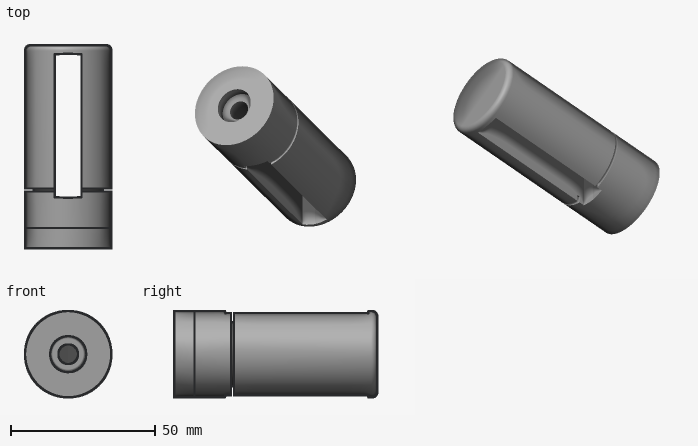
import cadquery as cq

LENGTH = 70.35
OUTER_DIAMETER = 30.0

CAP_LENGTH = 7.0
GROOVE_START = 19.7
GROOVE_WIDTH = 1.0
SLEEVE_START = GROOVE_START + GROOVE_WIDTH

NECK_DIAMETER = 24.05

REAR_FILLET = 2.0

SLOT_WIDTH = 9.15
SLOT_START = 17.7
SLOT_END = 67.1
SLOT_VEE_DEPTH = 0.2

BORE_DIAMETER = 6.8
COUNTERBORE_DIAMETER = 12.5
COUNTERBORE_DEPTH = 4.0


def cylinder(diameter, start, end):
    """Solid cylinder on the Y axis between two Y positions."""
    disc = cq.Workplane("XZ", origin=(0, start, 0)).circle(diameter / 2)
    return disc.extrude(start - end)


def slot_cutter():
    """Through slot with a shallow vee in the middle of each end wall."""
    half_width = SLOT_WIDTH / 2
    outline = [
        (-half_width, SLOT_START),
        (0, SLOT_START - SLOT_VEE_DEPTH),
        (half_width, SLOT_START),
        (half_width, SLOT_END),
        (0, SLOT_END + SLOT_VEE_DEPTH),
        (-half_width, SLOT_END),
    ]
    return cq.Workplane("XY").polyline(outline).close().extrude(OUTER_DIAMETER / 2, both=True)


def make_cap():
    """Front disc with the counterbored hole."""
    cap = cylinder(OUTER_DIAMETER, 0, CAP_LENGTH)
    cap = cap.cut(cylinder(BORE_DIAMETER, 0, CAP_LENGTH))
    return cap.cut(cylinder(COUNTERBORE_DIAMETER, 0, COUNTERBORE_DEPTH))


def make_collar():
    """Middle ring with the neck behind it, open to the slot at the rear."""
    collar = cylinder(OUTER_DIAMETER, CAP_LENGTH, GROOVE_START)
    collar = collar.union(cylinder(NECK_DIAMETER, GROOVE_START, SLEEVE_START))
    collar = collar.cut(cylinder(BORE_DIAMETER, CAP_LENGTH, SLEEVE_START))
    return collar.cut(slot_cutter())


def make_sleeve():
    """Long rear body with the slot and a rounded rear edge."""
    sleeve = cylinder(OUTER_DIAMETER, SLEEVE_START, LENGTH)
    sleeve = sleeve.faces(">Y").edges().fillet(REAR_FILLET)
    return sleeve.cut(slot_cutter())


cap = make_cap()
collar = make_collar()
sleeve = make_sleeve()

result = cq.Compound.makeCompound([cap.val(), collar.val(), sleeve.val()])